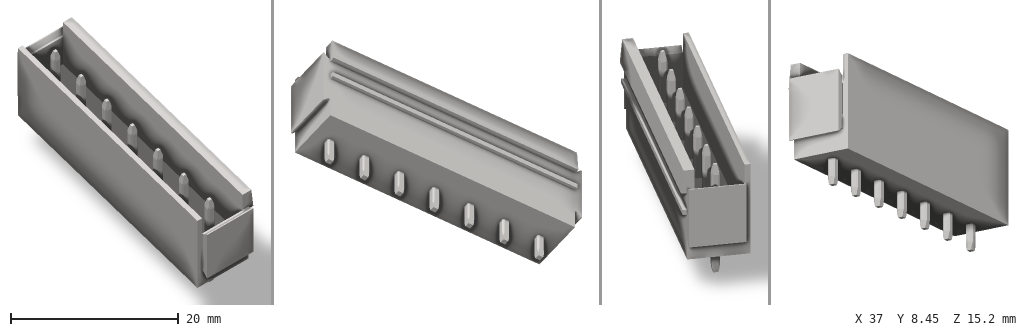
import cadquery as cq

overall_length = 37.0
body_length = 35.0
body_height = 12.0

front_wall_thickness = 0.7
body_depth = 7.7
cavity_back = 6.8
floor_height = 4.45
cavity_length = 35.08
lip_underside = 8.9
lip_depth = 8.45
lip_top_depth = 8.15
rib_bottom = 6.03
rib_height = 0.65
rib_depth = 8.25

plate_bottom = 2.1
plate_top = 9.88
plate_bevel_height = 0.55
plate_bevel_length = 0.55
plate_rim = 0.15

pin_count = 7
pin_row_length = 30.0
pin_pitch = pin_row_length / (pin_count - 1)
pin_width = 1.0
pin_corner = 0.2
pin_y = 3.75
pin_top = 11.17
pin_bottom = -3.22
top_taper_length = 1.25
top_tip_width = 0.4
bottom_taper_length = 1.0
bottom_tip_width = 0.65


def make_body_block():
    """Solid block with the lipped back face, running the full body length."""
    outline = [
        (0, 0),
        (body_depth, 0),
        (body_depth, lip_underside),
        (lip_depth, lip_underside),
        (lip_top_depth, body_height),
        (0, body_height),
    ]
    return cq.Workplane("YZ").polyline(outline).close().extrude(body_length / 2, both=True)


def make_back_rib():
    """Narrow rib along the outside of the back wall."""
    return cq.Workplane("XY").box(
        body_length, rib_depth - cavity_back, rib_height, centered=(True, False, False)
    ).translate((0, cavity_back, rib_bottom))


def make_end_plate():
    """Plate on the -X end, bevelled towards the body at its top and bottom edges."""
    inner_x = -body_length / 2
    outer_x = -overall_length / 2
    rim_x = outer_x + plate_rim
    bevel_x = rim_x + plate_bevel_length
    plate_width = body_depth - front_wall_thickness
    outline = [
        (outer_x, plate_bottom),
        (rim_x, plate_bottom),
        (bevel_x, plate_bottom + plate_bevel_height),
        (inner_x, plate_bottom + plate_bevel_height),
        (inner_x, plate_top - plate_bevel_height),
        (bevel_x, plate_top - plate_bevel_height),
        (rim_x, plate_top),
        (outer_x, plate_top),
    ]
    plate = cq.Workplane("XZ").polyline(outline).close().extrude(-plate_width)
    return plate.translate((0, front_wall_thickness, 0))


def make_cavity():
    """Space between the walls, reaching slightly into the inner face of both end plates."""
    return cq.Workplane("XY").box(
        cavity_length,
        cavity_back - front_wall_thickness,
        body_height - floor_height,
        centered=(True, False, False),
    ).translate((0, front_wall_thickness, floor_height))


def make_taper(shoulder_z, tip_z, tip_width):
    """Square frustum from the full pin width at the shoulder to the tip."""
    return (
        cq.Workplane("XY", origin=(0, 0, shoulder_z))
        .rect(pin_width, pin_width)
        .workplane(offset=tip_z - shoulder_z)
        .rect(tip_width, tip_width)
        .loft()
    )


def make_pin(x):
    """Square pin with chamfered corners and a tapered point at each end."""
    top_shoulder = pin_top - top_taper_length
    bottom_shoulder = pin_bottom + bottom_taper_length
    pointed_bar = (
        cq.Workplane("XY", origin=(0, 0, bottom_shoulder))
        .rect(pin_width, pin_width)
        .extrude(top_shoulder - bottom_shoulder)
        .union(make_taper(top_shoulder, pin_top, top_tip_width))
        .union(make_taper(bottom_shoulder, pin_bottom, bottom_tip_width))
    )
    chamfered_bar = (
        cq.Workplane("XY", origin=(0, 0, pin_bottom))
        .rect(pin_width, pin_width)
        .extrude(pin_top - pin_bottom)
        .edges("|Z")
        .chamfer(pin_corner)
    )
    return pointed_bar.intersect(chamfered_bar).translate((x, pin_y, 0))


pins = [make_pin(i * pin_pitch - pin_row_length / 2) for i in range(pin_count)]

left_plate = make_end_plate()
right_plate = left_plate.mirror("YZ")
housing = make_body_block().union(make_back_rib()).union(left_plate).union(right_plate).cut(make_cavity())
for pin in pins:
    housing = housing.cut(pin)

result = cq.Compound.makeCompound([housing.val(), *[pin.val() for pin in pins]])